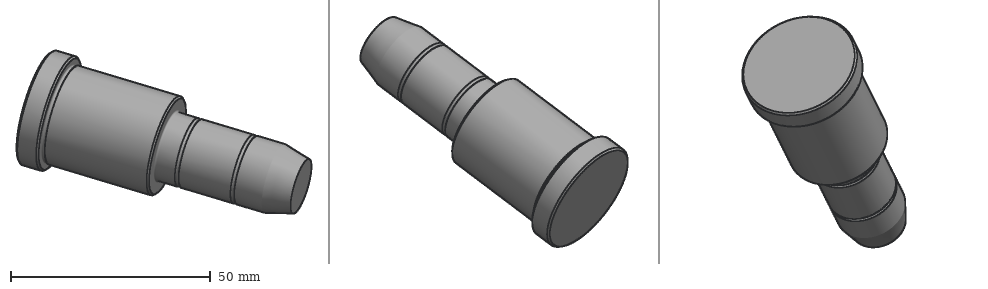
import cadquery as cq
import math

total_length = 71.0
head_length = 6.0
body_end = 35.0
taper_start = 64.0
shank_groove_starts = (40.55, 55.5)

head_diameter = 30.0
body_diameter = 26.0
shank_diameter = 18.0
tip_diameter = 14.3

chamfer = 0.5
groove_width = 1.0
groove_radius = groove_width / 2
shoulder_fillet = 0.5

head_radius = head_diameter / 2
body_radius = body_diameter / 2
shank_radius = shank_diameter / 2
tip_radius = tip_diameter / 2


def add_groove(profile, start, surface_radius):
    """Continue the profile with a semicircular groove and return to the surface."""
    bottom = (start + groove_radius, surface_radius - groove_radius)
    return profile.threePointArc(bottom, (start + groove_width, surface_radius))


profile = (
    cq.Workplane("XY")
    .lineTo(0, head_radius - chamfer)
    .lineTo(chamfer, head_radius)
    .lineTo(head_length - chamfer, head_radius)
    .lineTo(head_length, head_radius - chamfer)
    .lineTo(head_length, body_radius)
)

profile = add_groove(profile, head_length, body_radius)
profile = (
    profile.lineTo(body_end - chamfer, body_radius)
    .lineTo(body_end, body_radius - chamfer)
    .lineTo(body_end, shank_radius + shoulder_fillet)
)

fillet_middle = shoulder_fillet * (1 - math.sqrt(0.5))
profile = profile.threePointArc(
    (body_end + fillet_middle, shank_radius + fillet_middle),
    (body_end + shoulder_fillet, shank_radius),
)

for groove_start in shank_groove_starts:
    profile = profile.lineTo(groove_start, shank_radius)
    profile = add_groove(profile, groove_start, shank_radius)

profile = (
    profile.lineTo(taper_start, shank_radius)
    .lineTo(total_length, tip_radius)
    .lineTo(total_length, 0)
    .close()
)

result = profile.revolve(360, (0, 0, 0), (1, 0, 0))